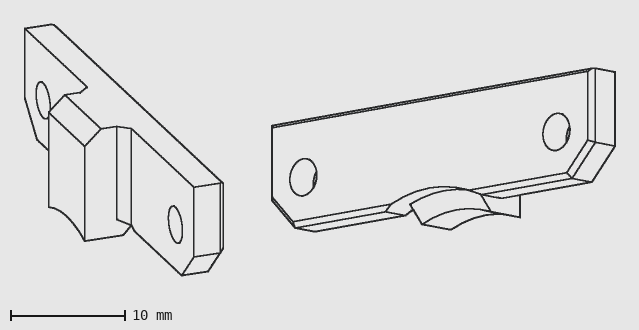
import cadquery as cq
import math

plate_length = 39.6
plate_height = 9.45
plate_thickness = 2.97
corner_cut = 2.85
back_chamfer = 0.48
top_chamfer = 0.28
hole_diameter = 3.3
hole_spacing = 30.95
hole_drop = 5.2

overall_depth = 7.0
overall_height = 10.4
block_width = 8.47
nose_chamfer_depth = 1.55
nose_chamfer_height = 1.43
flare_width = 0.95
flare_depth = 1.03

saddle_radius = 12.28
relief_radius = 13.8
saddle_length = 3.65

block_half = block_width / 2
block_bottom = plate_height - overall_height
axis_z = block_bottom - math.sqrt(saddle_radius**2 - block_half**2)
cone_length = relief_radius - saddle_radius
cone_start = saddle_length - overall_depth


def make_plate():
    """Plate with cut lower corners, a chamfered back rim and two through holes."""
    top_trim = back_chamfer - top_chamfer
    plate = (
        cq.Workplane("XY")
        .box(plate_length, plate_thickness, plate_height + top_trim, centered=(True, False, False))
        .translate((0, -plate_thickness, 0))
        .edges("|Y and <Z")
        .chamfer(corner_cut)
        .faces(">Y")
        .chamfer(back_chamfer)
        .faces(">Z")
        .workplane(offset=-top_trim)
        .split(keepBottom=True)
    )
    holes = (
        cq.Workplane("XZ")
        .pushPoints([(side * hole_spacing / 2, plate_height - hole_drop) for side in (-1, 1)])
        .circle(hole_diameter / 2)
        .extrude(plate_thickness)
    )
    return plate.cut(holes)


def make_flare():
    """Sloped shoulders that widen the block where it meets the plate."""
    root_half = block_half + flare_width
    return (
        cq.Workplane("XY")
        .polyline([
            (-root_half, -plate_thickness),
            (-block_half, -plate_thickness - flare_depth),
            (block_half, -plate_thickness - flare_depth),
            (root_half, -plate_thickness),
        ])
        .close()
        .extrude(plate_height)
    )


def make_relief():
    """Cylinder that clears the underside of the plate and the shoulders."""
    return cq.Workplane("XZ").center(0, axis_z).circle(relief_radius).extrude(overall_depth)


def make_block():
    """Block with a sloped nose, reaching back to the end of the saddle's conical lead-out."""
    block_back = cone_start + cone_length
    nose_top_z = plate_height - nose_chamfer_height
    block = (
        cq.Workplane("YZ")
        .polyline([
            (block_back, block_bottom),
            (-overall_depth, block_bottom),
            (-overall_depth, nose_top_z),
            (-overall_depth + nose_chamfer_depth, plate_height),
            (block_back, plate_height),
        ])
        .close()
        .extrude(block_half, both=True)
    )
    saddle = (
        cq.Workplane("XY")
        .polyline([
            (0, -overall_depth),
            (saddle_radius, -overall_depth),
            (saddle_radius, cone_start),
            (relief_radius, block_back),
            (0, block_back),
        ])
        .close()
        .revolve(360, (0, 0), (0, 1))
        .translate((0, 0, axis_z))
    )
    return block.cut(saddle)


result = make_plate().union(make_flare()).cut(make_relief()).union(make_block())